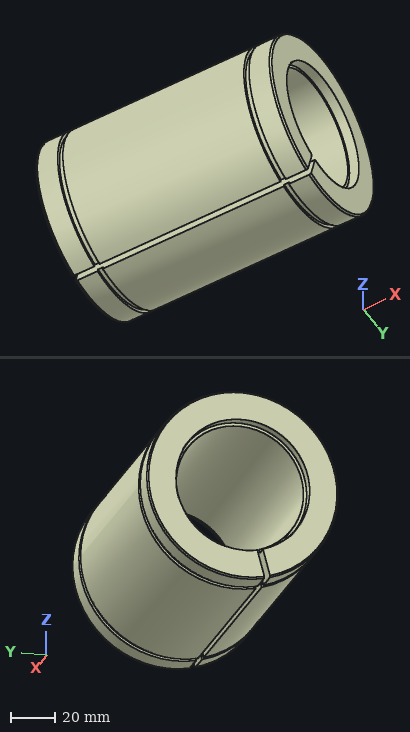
import cadquery as cq

length = 125.0
outer_diameter = 90.0
bore_diameter = 60.0

recess_diameter = 63.0
recess_depth = 5.0

groove_diameter = 86.8
groove_width = 2.8
groove_offset = 11.8

chamfer_length = 1.0
chamfer_height = 0.6

slit_width = 2.8
slit_angle = 15.0


def cylinder(diameter, start, extent):
    """Solid cylinder along X, beginning at X = start."""
    return cq.Workplane("YZ", origin=(start, 0, 0)).circle(diameter / 2).extrude(extent)


def ring_groove(start):
    """Ring of material to remove for one groove."""
    ring = cylinder(outer_diameter, start, groove_width)
    return ring.cut(cylinder(groove_diameter, start, groove_width))


def slit():
    """Radial slab from the axis out past the wall, along the full length."""
    slab = cq.Workplane("XY").box(length, slit_width, outer_diameter, centered=(True, True, False))
    slab = slab.translate((0, 0, -outer_diameter))
    return slab.rotate((0, 0, 0), (1, 0, 0), -slit_angle)


left_end = -length / 2
right_end = length / 2

half_profile = [
    (left_end, 0),
    (left_end, outer_diameter / 2 - chamfer_height),
    (left_end + chamfer_length, outer_diameter / 2),
    (right_end - chamfer_length, outer_diameter / 2),
    (right_end, outer_diameter / 2 - chamfer_height),
    (right_end, 0),
]
body = cq.Workplane("XY").polyline(half_profile).close().revolve(360, (0, 0, 0), (1, 0, 0))

body = body.cut(cylinder(bore_diameter, left_end, length))
for start in (left_end, right_end - recess_depth):
    body = body.cut(cylinder(recess_diameter, start, recess_depth))

for start in (left_end + groove_offset, right_end - groove_offset - groove_width):
    body = body.cut(ring_groove(start))

result = body.cut(slit())